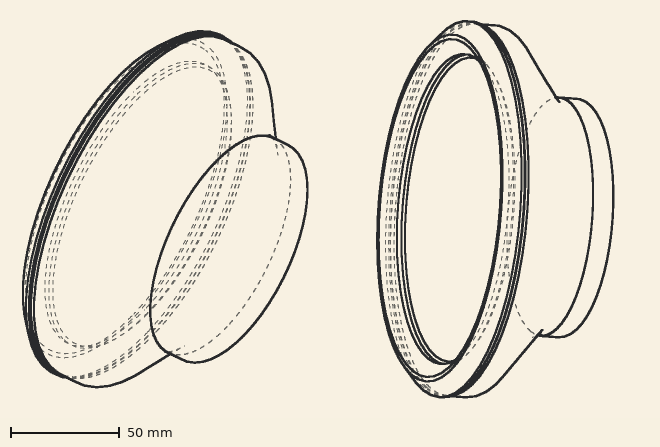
import cadquery as cq
import math

length = 65.0

rim_radius = 86.6
rim_chamfer = 6.8
rim_back = 8.8
rim_edge_chamfer = 0.5

drum_radius = 171.5 / 2
step_radius = drum_radius - 0.2
drum_front = 10.5
drum_round_start = 19.4

cone_angle = math.radians(49.6)
drum_round_radius = 4.7
neck_fillet_radius = 12.3

neck_radius = 110.0 / 2
neck_root_radius = 109.7 / 2
neck_front = 54.2
neck_end_round = 2.5

recess_mouth_radius = 77.8
recess_bevel_radius = 71.4
recess_wall_depth = 8.7
recess_bevel_depth = 6.4
recess_floor_radius = 70.0
recess_depth = 9.9


def arc_point(center_x, center_r, radius, angle):
    """Point on a profile circle, with the angle measured from the outward radial direction."""
    return (center_x + radius * math.sin(angle), center_r + radius * math.cos(angle))


drum_round_center = (drum_round_start, drum_radius - drum_round_radius)
cone_start = arc_point(*drum_round_center, drum_round_radius, cone_angle)
drum_round_middle = arc_point(*drum_round_center, drum_round_radius, cone_angle / 2)

fillet_center_r = neck_root_radius + neck_fillet_radius
cone_end_r = fillet_center_r - neck_fillet_radius * math.cos(cone_angle)
cone_end_x = cone_start[0] + (cone_start[1] - cone_end_r) / math.tan(cone_angle)
fillet_center = (cone_end_x + neck_fillet_radius * math.sin(cone_angle), fillet_center_r)
neck_fillet_middle = arc_point(*fillet_center, -neck_fillet_radius, cone_angle / 2)
neck_fillet_end = (fillet_center[0], neck_root_radius)

neck_round_center = (length - neck_end_round, neck_radius - neck_end_round)
neck_round_middle = arc_point(*neck_round_center, neck_end_round, math.pi / 4)

profile = (
    cq.Workplane("XY")
    .moveTo(recess_depth, 0)
    .lineTo(recess_depth, recess_floor_radius)
    .lineTo(recess_wall_depth, recess_bevel_radius)
    .lineTo(recess_bevel_depth, recess_bevel_radius)
    .lineTo(0, recess_mouth_radius)
    .lineTo(0, rim_radius - rim_chamfer)
    .lineTo(rim_chamfer, rim_radius)
    .lineTo(rim_back - rim_edge_chamfer, rim_radius)
    .lineTo(rim_back, rim_radius - rim_edge_chamfer)
    .lineTo(rim_back, step_radius)
    .lineTo(drum_front, step_radius)
    .lineTo(drum_front, drum_radius)
    .lineTo(drum_round_start, drum_radius)
    .threePointArc(drum_round_middle, cone_start)
    .lineTo(cone_end_x, cone_end_r)
    .threePointArc(neck_fillet_middle, neck_fillet_end)
    .lineTo(neck_front, neck_root_radius)
    .lineTo(neck_front, neck_radius)
    .lineTo(length - neck_end_round, neck_radius)
    .threePointArc(neck_round_middle, (length, neck_radius - neck_end_round))
    .lineTo(length, 0)
    .close()
)

result = profile.revolve(360, (0, 0, 0), (1, 0, 0))